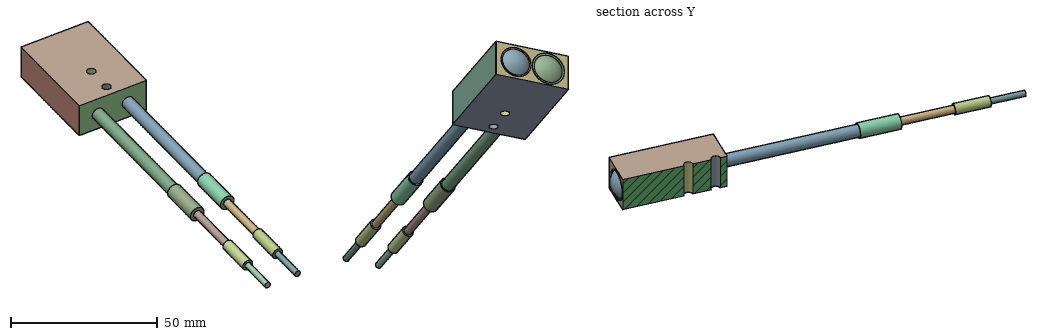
import cadquery as cq
import math

body_length = 38.16
body_width = 27.0
body_height = 13.0
corner_chamfer = 0.2

channel_spacing = 12.0

recess_depth = 0.2
lens_protrusion = 2.0
channels = (
    (-channel_spacing / 2, 10.4, 11.9),
    (channel_spacing / 2, 10.0, 11.1),
)

mounting_hole_diameter = 3.2
mounting_hole_distances = (24.0, 34.0)

cable_sections = (
    (4.6, 50.0),
    (5.5, 15.0),
    (2.9, 20.0),
    (4.0, 13.0),
    (2.2, 13.0),
)


def make_body():
    block = cq.Workplane("XY").box(
        body_length, body_width, body_height, centered=(False, True, True)
    )
    block = block.edges("|Z").chamfer(corner_chamfer)
    hole_centres = [(distance, 0) for distance in mounting_hole_distances]
    holes = (
        cq.Workplane("XY", origin=(0, 0, -body_height / 2))
        .pushPoints(hole_centres)
        .circle(mounting_hole_diameter / 2)
        .extrude(body_height)
    )
    return block.cut(holes)


def make_rod(start, length, diameter, y):
    """Cylinder along +X."""
    return cq.Workplane("YZ", origin=(start, y, 0)).circle(diameter / 2).extrude(length)


def make_lens(y, diameter):
    """Spherical cap rising from the recess floor towards -X."""
    cap_height = lens_protrusion + recess_depth
    rim_radius = diameter / 2
    sphere_radius = (rim_radius**2 + cap_height**2) / (2 * cap_height)
    half_angle = math.asin(rim_radius / sphere_radius) / 2
    arc_middle = (
        -lens_protrusion + sphere_radius * (1 - math.cos(half_angle)),
        sphere_radius * math.sin(half_angle),
    )
    return (
        cq.Workplane("XY")
        .moveTo(-lens_protrusion, 0)
        .threePointArc(arc_middle, (recess_depth, rim_radius))
        .lineTo(recess_depth, 0)
        .close()
        .revolve(360, (0, 0, 0), (1, 0, 0))
        .translate((0, y, 0))
    )


def add_cable(part, y):
    start = body_length
    for diameter, length in cable_sections:
        part = part.union(make_rod(start, length, diameter, y))
        start += length
    return part


result = make_body()
for channel_y, lens_diameter, recess_diameter in channels:
    result = result.cut(make_rod(0, recess_depth, recess_diameter, channel_y))
    result = result.union(make_lens(channel_y, lens_diameter))
    result = add_cable(result, channel_y)